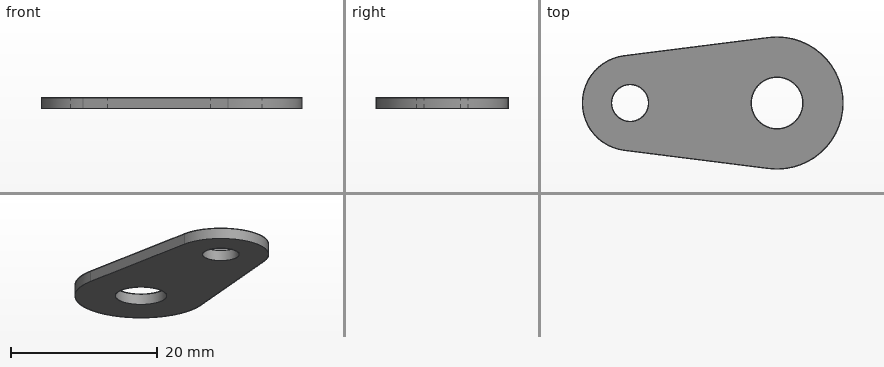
import cadquery as cq
import math

thickness = 1.5
hole_spacing = 20.0
small_end_radius = 6.5
small_hole_diameter = 5.0
large_end_radius = 9.0
large_hole_diameter = 7.0

large_centre_x = 0.0
small_centre_x = large_centre_x - hole_spacing

side_lean = math.asin((large_end_radius - small_end_radius) / hole_spacing)


def tangent_point(centre_x, radius):
    """Point where the +Y straight side meets the end arc."""
    return (centre_x - radius * math.sin(side_lean), radius * math.cos(side_lean))


def mirrored(point):
    """Reflect a point across the X axis."""
    return (point[0], -point[1])


def link_plate():
    """Flat plate with two round ends joined by tangent straight sides."""
    small_tangent = tangent_point(small_centre_x, small_end_radius)
    large_tangent = tangent_point(large_centre_x, large_end_radius)
    small_tip = (small_centre_x - small_end_radius, 0)
    large_tip = (large_centre_x + large_end_radius, 0)
    return (
        cq.Workplane("XY")
        .moveTo(*small_tangent)
        .lineTo(*large_tangent)
        .threePointArc(large_tip, mirrored(large_tangent))
        .lineTo(*mirrored(small_tangent))
        .threePointArc(small_tip, small_tangent)
        .close()
        .extrude(thickness)
    )


def through_hole(centre_x, diameter):
    """Cylinder that cuts a hole through the full thickness."""
    return cq.Workplane("XY").center(centre_x, 0).circle(diameter / 2).extrude(thickness)


result = (
    link_plate()
    .cut(through_hole(small_centre_x, small_hole_diameter))
    .cut(through_hole(large_centre_x, large_hole_diameter))
)